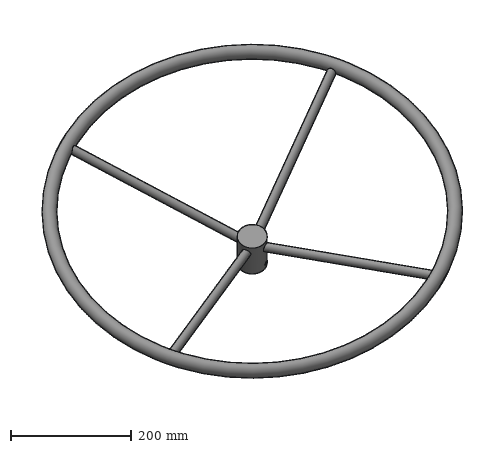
import cadquery as cq
import math

wheel_diameter = 700.0
wheel_height = 150.0

rim_bar_diameter = 25.0
rim_bar_radius = rim_bar_diameter / 2
rim_center_radius = wheel_diameter / 2 - rim_bar_radius
rim_center_z = wheel_height - rim_bar_radius

hub_diameter = 50.0
hub_height = 70.0

spoke_count = 4
spoke_step = 360 / spoke_count
spoke_diameter = 16.0
spoke_rise_angle = 15.0

pin_hole_diameter = 6.0
pin_hole_z = 10.0


def make_half_rim(start_angle):
    """Half ring of round bar, swept 180 degrees about the wheel axis."""
    return (
        cq.Workplane("XZ")
        .center(rim_center_radius, rim_center_z)
        .circle(rim_bar_radius)
        .revolve(180, (-rim_center_radius, 0), (-rim_center_radius, 1))
        .rotate((0, 0, 0), (0, 0, 1), start_angle)
    )


def make_hub():
    """Plain cylinder on the wheel axis."""
    return cq.Workplane("XY").circle(hub_diameter / 2).extrude(hub_height)


def make_spoke(turn_angle):
    """One inclined spoke, turned about the wheel axis from +X."""
    rise = math.radians(spoke_rise_angle)
    start_z = rim_center_z - rim_center_radius * math.tan(rise)
    length = rim_center_radius / math.cos(rise)
    direction = cq.Vector(math.cos(rise), 0, math.sin(rise))
    spoke = cq.Solid.makeCylinder(spoke_diameter / 2, length, cq.Vector(0, 0, start_z), direction)
    return cq.Workplane(obj=spoke).rotate((0, 0, 0), (0, 0, 1), turn_angle)


def make_pin_hole():
    """Cutter along X that passes right through the hub."""
    return (
        cq.Workplane("YZ", origin=(-hub_diameter / 2, 0, 0))
        .center(0, pin_hole_z)
        .circle(pin_hole_diameter / 2)
        .extrude(hub_diameter)
    )


wheel = make_hub().cut(make_pin_hole())
for spoke_index in range(spoke_count):
    wheel = wheel.union(make_spoke(spoke_index * spoke_step))

for start_angle in (spoke_step / 2, spoke_step / 2 + 180):
    wheel = wheel.union(make_half_rim(start_angle), clean=False)

result = wheel